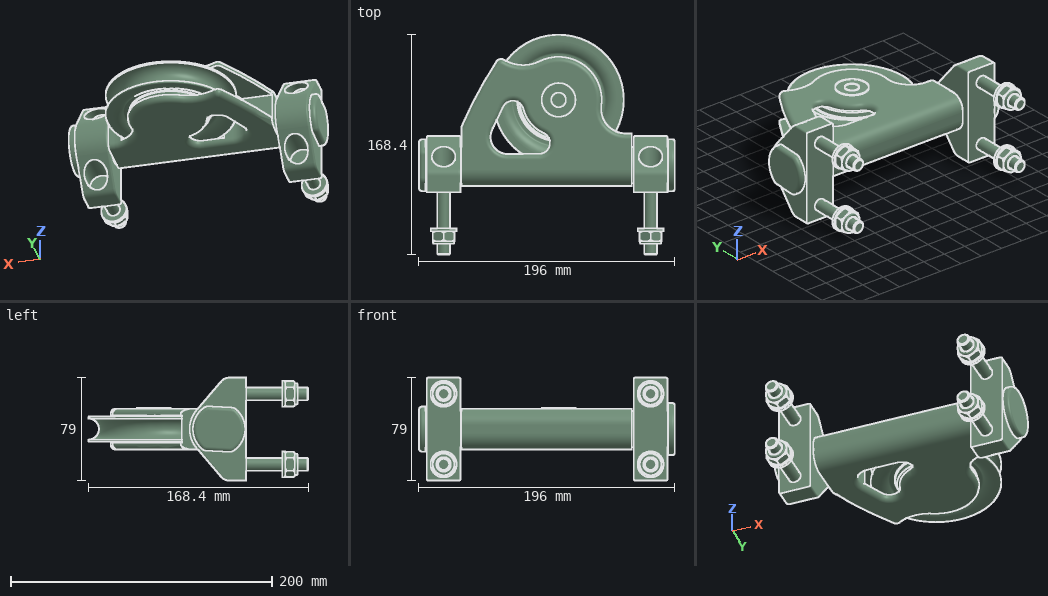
import cadquery as cq
import math


pin_diameter = 28.0
pin_end_x = 98.0
head_diameter = 40.0
head_thickness = 5.2
head_flat_width = 34.0
head_corner_radius = 5.0
left_head_edge_radius = 3.0
right_head_edge_radius = 2.0
head_turn = 3.0
head_inner_x = pin_end_x - head_thickness

left_clamp_x = -79.0
right_clamp_x = 79.4
clamp_width = 26.0
clamp_half_height = 39.5
clamp_back_y = -20.7
clamp_nose_radius = 22.5
clamp_slope_angle = 40.5
clamp_corner_radius = 8.0
clamp_edge_radius = 1.5
clamp_bore_diameter = 28.2

bolt_z = 27.0
bolt_diameter = 10.0
bolt_end_y = -68.37
bolt_chamfer = 0.8
head_bore_diameter = 18.0
head_bore_floor_y = clamp_back_y + 10.0
flange_diameter = 20.0
flange_top_y = -48.3
flange_thickness = 2.4
nut_across_flats = 17.0
nut_height = 7.3
nut_bevel_diameter = 17.9
nut_bevel_height = 1.0
collar_diameter = 16.5
collar_height = 2.2
collar_edge_radius = 1.2
nut_recess_diameter = 11.2
nut_recess_depth = 1.0

sheave_x = 9.0
sheave_y = 50.0
sheave_radius = 50.0
sheave_half_width = 9.8
sheave_edge_radius = 0.9
rope_groove_radius = 8.0
rim_inner_radius = 44.4
rim_flank_radius = 11.2
rim_flank_angle = 46.0
web_fillet_radius = 2.2
web_inner_radius = 31.8
hub_radius = 59.72 / 2
hub_height = 4.2
hub_wall_run = 1.3
hub_foot_height = 0.5

axle_diameter = 11.0
axle_cap_diameter = 25.9
axle_cap_height = 0.7
axle_recess_diameter = 11.2
axle_recess_depth = 0.6

housing_left_x = -65.5
housing_right_x = 65.0
housing_front_y = -16.0
housing_half_thickness = 15.75
housing_front_radius = 12.2
cheek_edge_radius = 4.2
cheek_round_radius = 33.0
shoulder_y = 24.4
shoulder_radius = 18.75
horn_x = -35.0
horn_y = 77.1
horn_radius = 4.3
dip_radius = 28.0
slope_foot_y = 29.3
slope_radius = 330.0
overrun = 12.0
slot_half_width = 10.3
slot_radius = 52.0
slot_floor_y = 28.4

window_lobe_radius = 8.4
window_lobe_orbit = 36.2
window_mid_angle = 220.0
window_half_angle = 25.5
window_corner_radius = 13.0
window_corner_x = -30.0

pick_margin = 1.0


def polar(center, radius, angle):
    """Point at an angle in degrees on a circle."""
    turn = math.radians(angle)
    return (center[0] + radius * math.cos(turn), center[1] + radius * math.sin(turn))


def heading(start, end):
    """Angle in degrees of the direction from one point to another."""
    return math.degrees(math.atan2(end[1] - start[1], end[0] - start[0]))


def circle_crossing(first, first_radius, second, second_radius):
    """Crossing of two circles that lies on the left when facing the second from the first."""
    span = math.dist(first, second)
    along = (span**2 + first_radius**2 - second_radius**2) / (2 * span)
    opening = math.degrees(math.acos(along / first_radius))
    return polar(first, first_radius, heading(first, second) + opening)


def box_between(x_range, y_range, z_range):
    """Box given by its limits along each axis."""
    size = [high - low for low, high in (x_range, y_range, z_range)]
    corner = (x_range[0], y_range[0], z_range[0])
    return cq.Workplane("XY").box(*size, centered=False).translate(corner)


def disc_along_x(diameter, start_x, end_x):
    """Round bar on the pivot axis."""
    return cq.Workplane("YZ").workplane(offset=start_x).circle(diameter / 2).extrude(end_x - start_x)


def disc_along_y(diameter, start_y, end_y):
    """Round bar along Y through the origin, running in the -Y direction."""
    return cq.Workplane("XZ").workplane(offset=-start_y).circle(diameter / 2).extrude(start_y - end_y)


sheave_center = (sheave_x, sheave_y)
horn_center = (horn_x, horn_y)


def cheek_plate():
    """Plate with the outline of the cheeks, rounded along its upper edges."""
    shoulder_center_y = shoulder_y + shoulder_radius
    reach = cheek_round_radius + shoulder_radius
    shoulder_center_x = sheave_x + math.sqrt(reach**2 - (shoulder_center_y - sheave_y) ** 2)
    shoulder_center = (shoulder_center_x, shoulder_center_y)
    shoulder_angle = heading(sheave_center, shoulder_center)

    dip_center = circle_crossing(
        horn_center, horn_radius + dip_radius, sheave_center, cheek_round_radius + dip_radius
    )
    dip_horn_angle = heading(horn_center, dip_center)
    dip_round_angle = heading(sheave_center, dip_center)

    foot = (housing_left_x, slope_foot_y)
    slope_center = circle_crossing(horn_center, slope_radius - horn_radius, foot, slope_radius)
    slope_start_angle = heading(slope_center, horn_center)
    slope_end_angle = heading(slope_center, foot) + math.degrees(2 * overrun / slope_radius)
    run_on = polar(slope_center, slope_radius, slope_end_angle)

    right_x = housing_right_x + overrun
    outline = (
        cq.Workplane("XY")
        .workplane(offset=-housing_half_thickness)
        .moveTo(run_on[0], housing_front_y)
        .lineTo(right_x, housing_front_y)
        .lineTo(right_x, shoulder_y)
        .lineTo(shoulder_center_x, shoulder_y)
        .threePointArc(
            polar(shoulder_center, shoulder_radius, (shoulder_angle + 180 + 270) / 2),
            polar(sheave_center, cheek_round_radius, shoulder_angle),
        )
        .threePointArc(
            polar(sheave_center, cheek_round_radius, (shoulder_angle + dip_round_angle) / 2),
            polar(sheave_center, cheek_round_radius, dip_round_angle),
        )
        .threePointArc(
            polar(dip_center, dip_radius, (dip_round_angle + dip_horn_angle) / 2 + 180),
            polar(horn_center, horn_radius, dip_horn_angle),
        )
        .threePointArc(
            polar(horn_center, horn_radius, (dip_horn_angle + slope_start_angle) / 2),
            polar(horn_center, horn_radius, slope_start_angle),
        )
        .threePointArc(
            polar(slope_center, slope_radius, (slope_start_angle + slope_end_angle) / 2),
            run_on,
        )
        .close()
    )
    plate = outline.extrude(2 * housing_half_thickness)
    lowest_rounded_y = run_on[1] + pick_margin
    upper_edges = cq.selectors.BoxSelector(
        (run_on[0] - pick_margin, lowest_rounded_y, -housing_half_thickness - pick_margin),
        (right_x - pick_margin, sheave_y + sheave_radius, housing_half_thickness + pick_margin),
    )
    return plate.faces("|Z").edges(upper_edges).fillet(cheek_edge_radius)


def window_cutter():
    """Curved window with two round lobes beside the axle and a large outer corner."""
    upper = polar(sheave_center, window_lobe_orbit, window_mid_angle - window_half_angle)
    lower = polar(sheave_center, window_lobe_orbit, window_mid_angle + window_half_angle)
    inner_radius = window_lobe_orbit - window_lobe_radius
    sill_y = lower[1] - window_lobe_radius
    corner = (window_corner_x, sill_y + window_corner_radius)
    lean = math.asin((window_corner_radius - window_lobe_radius) / math.dist(corner, upper))
    side_angle = heading(corner, upper) + 90 - math.degrees(lean)
    upper_end_angle = window_mid_angle - window_half_angle - 180
    lower_end_angle = window_mid_angle + window_half_angle - 180
    return (
        cq.Workplane("XY")
        .workplane(offset=-housing_half_thickness)
        .moveTo(corner[0], sill_y)
        .lineTo(lower[0], sill_y)
        .threePointArc(
            polar(lower, window_lobe_radius, (lower_end_angle - 90) / 2),
            polar(lower, window_lobe_radius, lower_end_angle),
        )
        .threePointArc(
            polar(sheave_center, inner_radius, window_mid_angle),
            polar(upper, window_lobe_radius, upper_end_angle),
        )
        .threePointArc(
            polar(upper, window_lobe_radius, (upper_end_angle + side_angle) / 2),
            polar(upper, window_lobe_radius, side_angle),
        )
        .lineTo(*polar(corner, window_corner_radius, side_angle))
        .threePointArc(
            polar(corner, window_corner_radius, (side_angle + 270) / 2),
            (corner[0], sill_y),
        )
        .close()
        .extrude(2 * housing_half_thickness)
    )


def housing():
    """Barrel and two cheeks, with the slot for the sheave between the cheeks."""
    body = cheek_plate().cut(window_cutter())
    window_edges = cq.selectors.BoxSelector(
        (window_corner_x - window_corner_radius - pick_margin, 0, -housing_half_thickness - pick_margin),
        (sheave_x, sheave_y + pick_margin, housing_half_thickness + pick_margin),
    )
    body = body.faces("|Z").edges(window_edges).fillet(cheek_edge_radius)

    length = (housing_left_x, housing_right_x)
    back_y = sheave_y + sheave_radius
    thickness = (-housing_half_thickness, housing_half_thickness)
    envelope = box_between(length, (housing_front_y, back_y), thickness)
    envelope = envelope.faces("<Y").edges("|X").fillet(housing_front_radius)
    body = body.intersect(envelope)

    slot = (
        cq.Workplane("XY")
        .workplane(offset=-slot_half_width)
        .center(*sheave_center)
        .circle(slot_radius)
        .extrude(2 * slot_half_width)
    )
    slot_range = (-slot_half_width, slot_half_width)
    slot = slot.union(box_between(length, (slot_floor_y, back_y), slot_range))
    return body.cut(slot)


def sheave():
    """Rope wheel with a half-round rope groove and dished sides."""
    flank_center = (rim_inner_radius, sheave_half_width - rim_flank_radius)
    flank_end = polar(flank_center, rim_flank_radius, 90 + rim_flank_angle)
    fillet_center = polar(flank_end, web_fillet_radius, 90 + rim_flank_angle)
    web_outer = polar(fillet_center, web_fillet_radius, 270)
    web_z = web_outer[1]
    hub_z = web_z + hub_height
    edge_center = (sheave_radius - sheave_edge_radius, sheave_half_width - sheave_edge_radius)
    half_section = (
        cq.Workplane("XZ")
        .lineTo(sheave_radius, 0)
        .lineTo(sheave_radius, edge_center[1])
        .threePointArc(
            polar(edge_center, sheave_edge_radius, 45),
            (edge_center[0], sheave_half_width),
        )
        .lineTo(rim_inner_radius, sheave_half_width)
        .threePointArc(
            polar(flank_center, rim_flank_radius, 90 + rim_flank_angle / 2),
            flank_end,
        )
        .threePointArc(
            polar(fillet_center, web_fillet_radius, 270 + rim_flank_angle / 2),
            web_outer,
        )
        .lineTo(web_inner_radius, web_z)
        .lineTo(hub_radius + hub_wall_run, web_z + hub_foot_height)
        .lineTo(hub_radius, hub_z)
        .lineTo(0, hub_z)
        .close()
    )
    half = half_section.revolve(360, (0, 0, 0), (0, 1, 0))
    rope_groove = cq.Workplane(cq.Solid.makeTorus(sheave_radius, rope_groove_radius))
    wheel = half.union(half.mirror("XY")).cut(rope_groove)
    return wheel.translate((sheave_x, sheave_y, 0))


def axle():
    """Sheave axle joining the cheeks, with a thin cap on the upper cheek."""
    cap_top = housing_half_thickness + axle_cap_height
    shaft = (
        cq.Workplane("XY")
        .workplane(offset=-housing_half_thickness)
        .circle(axle_diameter / 2)
        .extrude(2 * housing_half_thickness)
    )
    cap = (
        cq.Workplane("XY")
        .workplane(offset=housing_half_thickness)
        .circle(axle_cap_diameter / 2)
        .extrude(axle_cap_height)
    )
    recess = (
        cq.Workplane("XY")
        .workplane(offset=cap_top - axle_recess_depth)
        .circle(axle_recess_diameter / 2)
        .extrude(axle_recess_depth)
    )
    return shaft.union(cap.cut(recess)).translate((sheave_x, sheave_y, 0))


def left_head():
    """Round pin head with two flats, turned a little about the pivot axis."""
    head = disc_along_x(head_diameter, -pin_end_x, -head_inner_x)
    half_flat = head_flat_width / 2
    flats = box_between(
        (-pin_end_x, -head_inner_x), (-head_diameter, head_diameter), (-half_flat, half_flat)
    )
    head = head.intersect(flats).edges("|X").fillet(head_corner_radius)
    head = head.faces("<X").edges().fillet(left_head_edge_radius)
    return head.rotate((0, 0, 0), (1, 0, 0), head_turn)


def right_head():
    """Plain round pin head."""
    head = disc_along_x(head_diameter, head_inner_x, pin_end_x)
    return head.faces(">X").edges().fillet(right_head_edge_radius)


def pin_ends():
    """Pin ends with their heads, one on each side of the housing."""
    left = disc_along_x(pin_diameter, -head_inner_x, housing_left_x).union(left_head())
    right = disc_along_x(pin_diameter, housing_right_x, head_inner_x).union(right_head())
    return left.union(right)


def block():
    """Housing, sheave, axle and pivot pin as one body."""
    return housing().union(axle()).union(sheave()).union(pin_ends())


def clamp_block():
    """Clamp with a round nose, sloping shoulders and a flat back, centred on X = 0."""
    nose = polar((0, 0), clamp_nose_radius, clamp_slope_angle)
    slope = math.radians(clamp_slope_angle)
    corner_y = (clamp_nose_radius - clamp_half_height * math.sin(slope)) / math.cos(slope)
    profile = (
        cq.Workplane("YZ")
        .workplane(offset=-clamp_width / 2)
        .moveTo(clamp_back_y, -clamp_half_height)
        .lineTo(corner_y, -clamp_half_height)
        .lineTo(nose[0], -nose[1])
        .threePointArc((clamp_nose_radius, 0), nose)
        .lineTo(corner_y, clamp_half_height)
        .lineTo(clamp_back_y, clamp_half_height)
        .close()
    )
    body = profile.extrude(clamp_width)
    shoulder_corners = cq.selectors.BoxSelector(
        (-clamp_width, corner_y - pick_margin, -clamp_half_height - pick_margin),
        (clamp_width, corner_y + pick_margin, clamp_half_height + pick_margin),
    )
    body = body.edges("|X").edges(shoulder_corners).fillet(clamp_corner_radius)
    rim = cq.selectors.BoxSelector(
        (-clamp_width, clamp_back_y + pick_margin, -clamp_half_height - pick_margin),
        (clamp_width, clamp_nose_radius + pick_margin, clamp_half_height + pick_margin),
    )
    body = body.faces("|X").edges(rim).fillet(clamp_edge_radius)
    return body.cut(disc_along_x(clamp_bore_diameter, -clamp_width, clamp_width))


def bolt_and_nut():
    """Bolt shank with a flanged lock nut, on the Y axis."""
    shank = disc_along_y(bolt_diameter, head_bore_floor_y, bolt_end_y)
    shank = shank.faces("<Y").chamfer(bolt_chamfer)

    hex_top_y = flange_top_y - flange_thickness
    hex_end_y = hex_top_y - nut_height
    collar_end_y = hex_end_y - collar_height
    flange = disc_along_y(flange_diameter, flange_top_y, hex_top_y)
    across_corners = nut_across_flats / math.cos(math.radians(30))
    prism = (
        cq.Workplane("XZ")
        .workplane(offset=-hex_top_y)
        .polygon(6, across_corners)
        .extrude(nut_height)
        .rotate((0, 0, 0), (0, 1, 0), 30)
    )
    bevel = disc_along_y(across_corners, hex_top_y, hex_end_y)
    bevel_inset = (across_corners - nut_bevel_diameter) / 2
    bevel = bevel.faces("|Y").chamfer(nut_bevel_height, bevel_inset)
    collar = disc_along_y(collar_diameter, hex_end_y, collar_end_y)
    collar = collar.faces("<Y").edges().fillet(collar_edge_radius)
    nut = flange.union(prism.intersect(bevel)).union(collar)
    recess = disc_along_y(nut_recess_diameter, collar_end_y + nut_recess_depth, collar_end_y)
    return nut.cut(recess).union(shank)


def clamp(center_x):
    """Clamp with its two bolts and nuts as one body."""
    body = clamp_block()
    for z in (-bolt_z, bolt_z):
        bore = disc_along_y(head_bore_diameter, clamp_nose_radius, head_bore_floor_y)
        body = body.cut(bore.translate((0, 0, z)))
        body = body.union(bolt_and_nut().translate((0, 0, z)))
    return body.translate((center_x, 0, 0))


sheave_block = block()
clamps = [clamp(x) for x in (left_clamp_x, right_clamp_x)]

result = cq.Compound.makeCompound([sheave_block.val(), *[body.val() for body in clamps]])